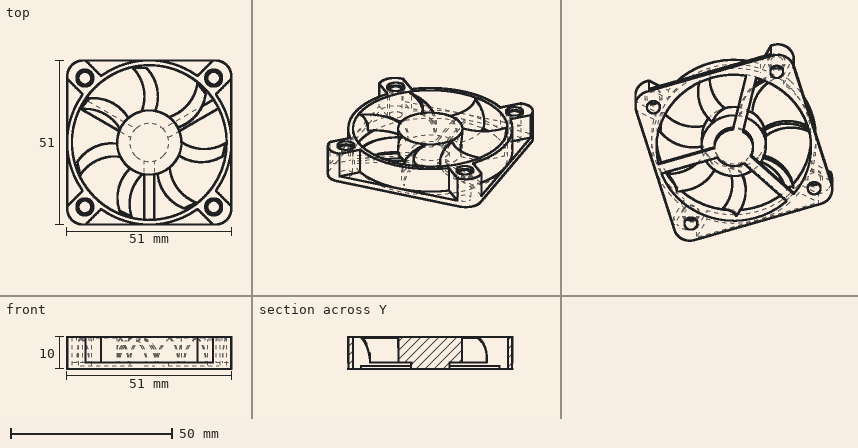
import cadquery as cq
import math

side = 51
height = 10.0
flange_thickness = 2.0
corner_radius = 5.0
ring_radius = side / 2
bore_diameter = 48.0

hole_spacing = 40.0
post_width = 8.05
hole_diameter = 4.0
counterbore_diameter = 5.3
counterbore_depth = 1

hub_diameter = 20.0
hub_bottom = 2.0
strut_count = 3
first_strut_angle = -90
strut_width = 3.2
strut_thickness = 1
motor_mount_diameter = 12.0

blade_count = 7
blade_thickness = 0.5
blade_top = 9.7
blade_bottom = 2.0
blade_top_x = -1.55
blade_lean = 4.2
blade_bulge = 1.55
blade_sweep_radius = 12.75
blade_sweep_y = 14.3
blade_root_y = 8.15
blade_tip_y = 23.15


def turn(body, angle):
    """Body turned about the fan axis by an angle in degrees."""
    return body.rotate((0, 0, 0), (0, 0, 1), angle)


def make_frame():
    """Square flange with a ring wall and four full-height corner posts, bored through."""
    block = cq.Workplane().rect(side, side).extrude(height).edges("|Z").fillet(corner_radius)
    flange = cq.Workplane().rect(side, side).extrude(flange_thickness)
    ring = cq.Workplane().circle(ring_radius).extrude(height)
    outline = flange.union(ring)
    for angle in (45, 135):
        diagonal_bar = cq.Workplane().rect(side * math.sqrt(2), post_width).extrude(height)
        outline = outline.union(turn(diagonal_bar, angle))
    frame = block.intersect(outline)
    frame = frame.cut(cq.Workplane().circle(bore_diameter / 2).extrude(height))
    return (
        frame.faces(">Z").workplane(origin=(0, 0, height))
        .rect(hole_spacing, hole_spacing, forConstruction=True).vertices()
        .cboreHole(hole_diameter, counterbore_diameter, counterbore_depth)
    )


def make_motor():
    """Hub on a smaller mount, carried by struts that reach into the ring wall."""
    hub = cq.Workplane(origin=(0, 0, hub_bottom)).circle(hub_diameter / 2).extrude(height - hub_bottom)
    mount = cq.Workplane().circle(motor_mount_diameter / 2).extrude(hub_bottom)
    motor = hub.union(mount)
    strut_length = (bore_diameter / 2 + ring_radius) / 2
    strut = cq.Workplane().rect(strut_length, strut_width).extrude(strut_thickness)
    strut = strut.translate((strut_length / 2, 0, 0))
    for index in range(strut_count):
        motor = motor.union(turn(strut, first_strut_angle + index * 360 / strut_count))
    return motor


def sweep_x(y):
    """X offset of the blade edge at a given Y, zero where the edge runs parallel to Y."""
    return math.sqrt(blade_sweep_radius**2 - (y - blade_sweep_y) ** 2) - blade_sweep_radius


def make_blade():
    """Sharp-edged crescent in the XZ plane, carried without turning along an arc in plan."""
    root_x = blade_top_x + sweep_x(blade_root_y)
    drop = blade_top - blade_bottom
    chord = math.hypot(blade_lean, drop)
    top_edge = (root_x, blade_top)
    bottom_edge = (root_x + blade_lean, blade_bottom)

    def crown(bulge):
        """Middle point of an arc that rises by bulge above the chord."""
        return (
            root_x + blade_lean / 2 + bulge * drop / chord,
            (blade_top + blade_bottom) / 2 + bulge * blade_lean / chord,
        )

    section = (
        cq.Workplane("XZ", origin=(0, blade_root_y, 0))
        .moveTo(*top_edge)
        .threePointArc(crown(blade_bulge), bottom_edge)
        .threePointArc(crown(blade_bulge - blade_thickness), top_edge)
        .close()
    )
    path = cq.Workplane().moveTo(root_x, blade_root_y).threePointArc(
        (blade_top_x, blade_sweep_y), (blade_top_x + sweep_x(blade_tip_y), blade_tip_y)
    )
    return section.sweep(path, normal=(0, 1, 0))


fan = make_frame().union(make_motor())
blade = make_blade()
for index in range(blade_count):
    fan = fan.union(turn(blade, index * 360 / blade_count))

result = fan.solids()